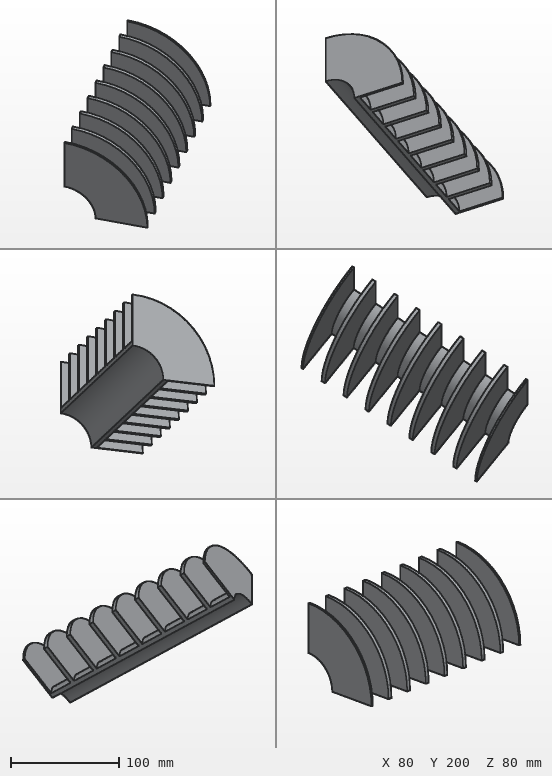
import cadquery as cq

length = 200.0
bore_radius = 30.0
tube_radius = 35.0
fin_radius = 80.0
bay_count = 8
fin_thickness = 4.0

bay_pitch = length / bay_count
end_fin_thickness = fin_thickness / 2


def quarter_ring(outer_radius, start_y, depth):
    """Quarter ring around the Y axis, in the +X +Z quadrant, from start_y towards +Y."""
    sector = (
        cq.Workplane("XY")
        .circle(outer_radius)
        .circle(bore_radius)
        .extrude(depth)
        .intersect(cq.Workplane("XY").rect(outer_radius, -outer_radius, centered=False).extrude(depth))
    )
    return sector.rotate((0, 0, 0), (1, 0, 0), -90).translate((0, start_y, 0))


result = quarter_ring(tube_radius, 0, length)

for index in range(1, bay_count):
    fin_start = index * bay_pitch - fin_thickness / 2
    result = result.union(quarter_ring(fin_radius, fin_start, fin_thickness))

for fin_start in (0, length - end_fin_thickness):
    result = result.union(quarter_ring(fin_radius, fin_start, end_fin_thickness))